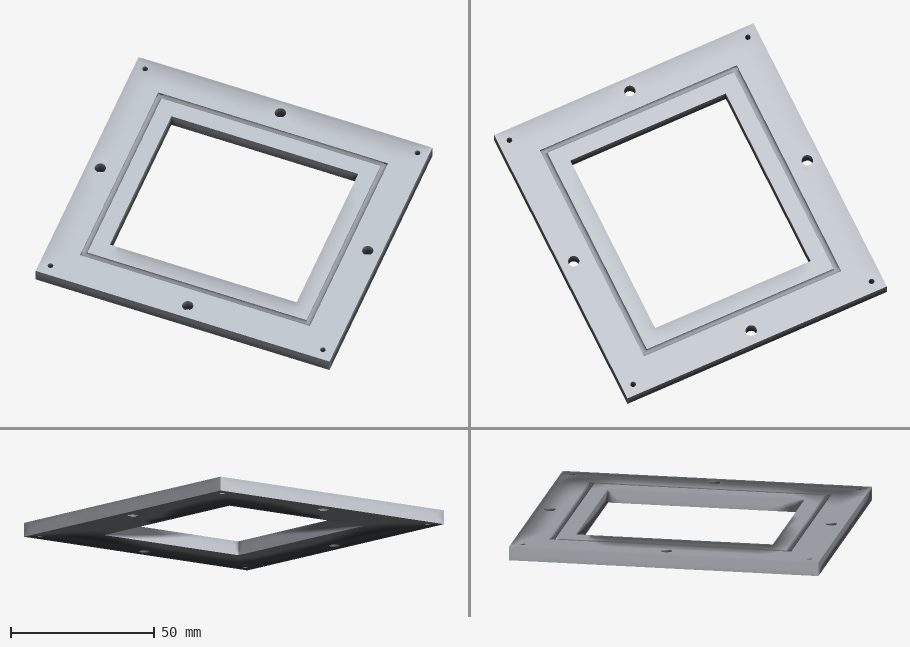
import cadquery as cq

length = 110.0
width = 100.0
thickness = 5.0

window_length = 70.0
window_width = 60.0

groove_diameter = 2.0
groove_length = 84.0
groove_width = 74.0

corner_hole_diameter = 2.0
corner_hole_length = 102.0
corner_hole_width = 92.0
side_hole_diameter = 4.0
side_hole_inset = 5.0


def groove_cutter(plane, run, spacing):
    """Two parallel round bars, centred on the top face and running along the plane normal."""
    offset = spacing / 2
    centres = [(-offset, 0), (offset, 0)]
    return (
        cq.Workplane(plane)
        .workplane(offset=-run / 2)
        .pushPoints(centres)
        .circle(groove_diameter / 2)
        .extrude(run)
        .translate((0, 0, thickness))
    )


plate = cq.Workplane("XY").box(length, width, thickness, centered=(True, True, False))
plate = plate.cut(
    cq.Workplane("XY").box(window_length, window_width, thickness, centered=(True, True, False))
)

plate = plate.cut(groove_cutter("XZ", groove_width + groove_diameter, groove_length))
plate = plate.cut(groove_cutter("YZ", groove_length + groove_diameter, groove_width))

plate = (
    plate.faces("<Z").workplane(origin=(0, 0, 0))
    .rect(corner_hole_length, corner_hole_width, forConstruction=True)
    .vertices()
    .hole(corner_hole_diameter)
)

side_x = length / 2 - side_hole_inset
side_y = width / 2 - side_hole_inset
plate = (
    plate.faces("<Z").workplane(origin=(0, 0, 0))
    .pushPoints([(-side_x, 0), (side_x, 0), (0, -side_y), (0, side_y)])
    .hole(side_hole_diameter)
)

result = plate